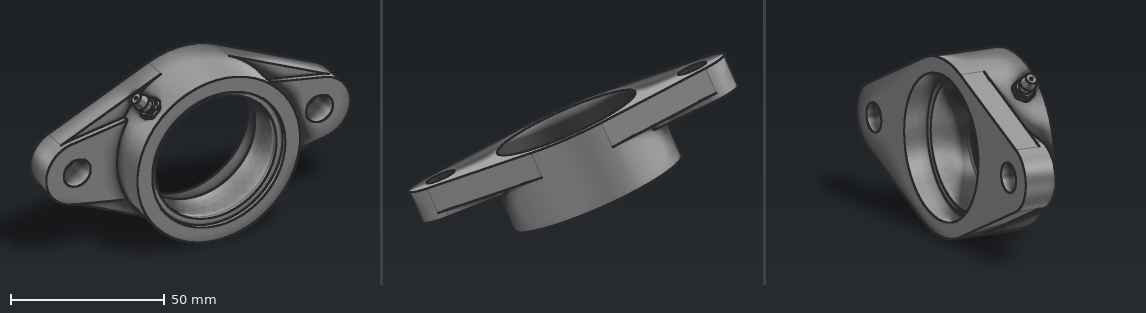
import cadquery as cq
import math

ring_diameter = 60.3
ring_length = 25.4
ring_radius = ring_diameter / 2

counterbore_diameter = 49.4
counterbore_depth = 8.7
bore_diameter = 44.9
seat_sphere_diameter = 46.8
rear_recess_depth = 1.9

flange_length = 112.7
bolt_spacing = 89.7
bolt_hole_diameter = 9.9
flange_thickness = 8.9
boss_thickness = 11.3
boss_root_radius = 19.0
bolt_offset = bolt_spacing / 2
end_radius = flange_length / 2 - bolt_offset

nipple_x = 18.6
nipple_angle = 45.0
hex_across_flats = 7.0
hex_top = 32.2
hex_corner_diameter = 7.5
hex_chamfer_height = 0.8
hex_chamfer_width = 0.6
neck_diameter = 4.4
head_diameter = 5.5
head_height = 35.0
tip_diameter = 4.0
tip_height = 38.2
grease_hole_diameter = 0.8
grease_hole_depth = 1.1
embed_height = 27.0


def tangent_points(center_radius):
    """Points where a common tangent touches the central circle and the +Y end circle."""
    sine = (center_radius - end_radius) / bolt_offset
    cosine = math.sqrt(1 - sine**2)
    center_point = (center_radius * sine, center_radius * cosine)
    end_point = (bolt_offset + end_radius * sine, end_radius * cosine)
    return center_point, end_point


def flange_plate():
    """Straight-sided core of the flange; the ring and the bosses supply its round edges."""
    (center_y, center_z), (end_y, end_z) = tangent_points(ring_radius)
    upper = [(-end_y, end_z), (-center_y, center_z), (center_y, center_z), (end_y, end_z)]
    lower = [(-y, -z) for y, z in upper]
    return cq.Workplane("YZ").polyline(upper + lower).close().extrude(flange_thickness)


def bolt_bosses():
    """Thicker tapered bosses with round ends, joined across the middle inside the bore."""
    (center_y, center_z), (end_y, end_z) = tangent_points(boss_root_radius)
    tip_y = flange_length / 2
    return (
        cq.Workplane("YZ")
        .moveTo(-center_y, center_z)
        .lineTo(center_y, center_z)
        .lineTo(end_y, end_z)
        .threePointArc((tip_y, 0), (end_y, -end_z))
        .lineTo(center_y, -center_z)
        .lineTo(-center_y, -center_z)
        .lineTo(-end_y, -end_z)
        .threePointArc((-tip_y, 0), (-end_y, end_z))
        .close()
        .extrude(boss_thickness)
    )


def stepped_bore():
    """Counterbore, spherical seat, bore lip and rear recess as one revolved cutting solid."""
    counterbore_radius = counterbore_diameter / 2
    bore_radius = bore_diameter / 2
    seat_half_width = math.sqrt(seat_sphere_diameter**2 - bore_diameter**2) / 2
    seat_middle_x = counterbore_depth + seat_half_width
    seat_end_x = seat_middle_x + seat_half_width
    recess_x = ring_length - rear_recess_depth
    return (
        cq.Workplane("XY")
        .lineTo(0, counterbore_radius)
        .lineTo(counterbore_depth, counterbore_radius)
        .lineTo(counterbore_depth, bore_radius)
        .threePointArc((seat_middle_x, seat_sphere_diameter / 2), (seat_end_x, bore_radius))
        .lineTo(recess_x, bore_radius)
        .lineTo(recess_x, counterbore_radius)
        .lineTo(ring_length, counterbore_radius)
        .lineTo(ring_length, 0)
        .close()
        .revolve(360, (0, 0), (1, 0))
    )


def grease_nipple():
    """Hexagon, flared neck and tapered head, built along Z and tilted into place."""
    hexagon = (
        cq.Workplane("XY", origin=(0, 0, embed_height))
        .polygon(6, hex_across_flats, circumscribed=True)
        .extrude(hex_top - embed_height)
    )
    rounded_blank = (
        cq.Workplane("XY", origin=(0, 0, embed_height))
        .circle(hex_corner_diameter / 2)
        .extrude(hex_top - embed_height)
        .faces(">Z")
        .chamfer(hex_chamfer_height, hex_chamfer_width)
    )
    head = (
        cq.Workplane("XZ")
        .moveTo(0, embed_height)
        .lineTo(neck_diameter / 2, embed_height)
        .lineTo(neck_diameter / 2, hex_top)
        .lineTo(head_diameter / 2, head_height)
        .lineTo(tip_diameter / 2, tip_height)
        .lineTo(0, tip_height)
        .close()
        .revolve(360, (0, 0), (0, 1))
    )
    grease_hole = (
        cq.Workplane("XY", origin=(0, 0, tip_height - grease_hole_depth))
        .circle(grease_hole_diameter / 2)
        .extrude(grease_hole_depth)
    )
    return (
        hexagon.intersect(rounded_blank)
        .union(head)
        .cut(grease_hole)
        .rotate((0, 0, 0), (1, 0, 0), nipple_angle)
        .translate((nipple_x, 0, 0))
    )


ring = cq.Workplane("YZ").circle(ring_radius).extrude(ring_length)
bolt_holes = (
    cq.Workplane("YZ")
    .pushPoints([(-bolt_offset, 0), (bolt_offset, 0)])
    .circle(bolt_hole_diameter / 2)
    .extrude(boss_thickness)
)

body = ring.union(flange_plate()).union(bolt_bosses())
result = body.cut(bolt_holes).cut(stepped_bore()).union(grease_nipple())